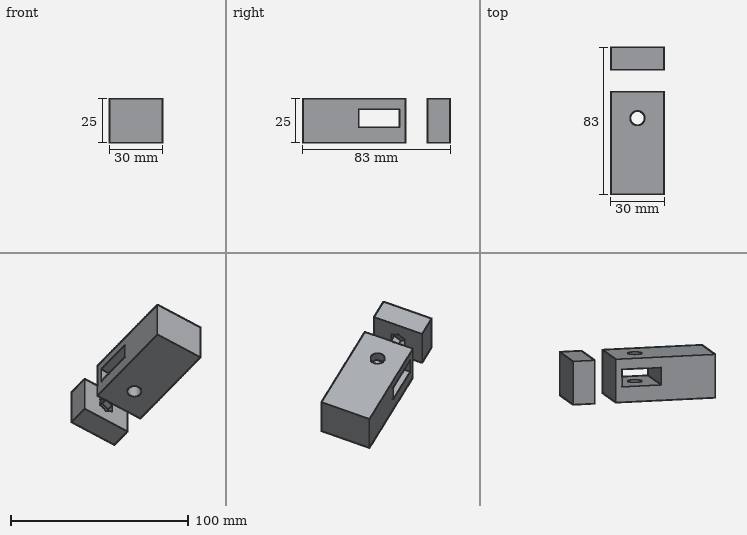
import cadquery as cq
import math

width = 30.0
height = 25.0
total_length = 83.0

body_length = 58.0
window_start = 31.5
window_length = 22.8
window_height = 10.0
window_bottom = 9.0
bore_diameter = 8.0
bore_setback = 15.0

cap_thickness = 12.8
hex_corner_diameter = 9.55
hex_depth = 4.0

cap_front = total_length - cap_thickness
bore_y = body_length - bore_setback


def block(length, front_y):
    """Block of the common cross-section, centred on X, resting on Z = 0."""
    return cq.Workplane("XY").box(width, length, height, centered=(True, False, False)).translate((0, front_y, 0))


def make_body():
    window = (
        cq.Workplane("XY")
        .box(width, window_length, window_height, centered=(True, False, False))
        .translate((0, window_start, window_bottom))
    )
    bore = cq.Workplane("XY").center(0, bore_y).circle(bore_diameter / 2).extrude(height)
    return block(body_length, 0).cut(window).cut(bore)


def make_cap():
    corner_radius = hex_corner_diameter / 2
    corner_angles = [math.radians(90 + 60 * i) for i in range(6)]
    corners = [(corner_radius * math.cos(a), corner_radius * math.sin(a)) for a in corner_angles]
    recess = (
        cq.Workplane("XZ", origin=(0, cap_front, height / 2))
        .polyline(corners)
        .close()
        .extrude(-hex_depth)
    )
    return block(cap_thickness, cap_front).cut(recess)


body = make_body()
cap = make_cap()

result = cq.Compound.makeCompound([body.val(), cap.val()])